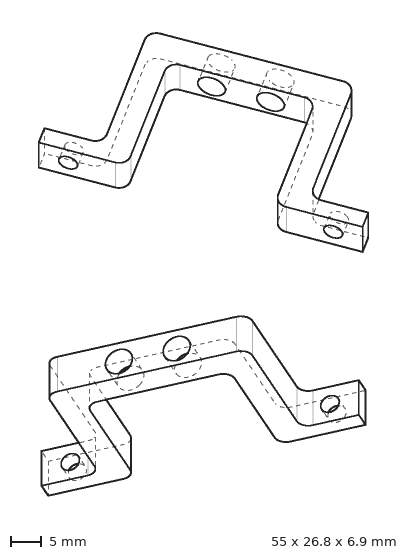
import cadquery as cq

length = 55.0
depth = 26.8
height = 6.9

channel_width = 25.0
wall = 5.0
flange_thickness = 3.0
corner_radius = 2.0

flange_hole_diameter = 3.2
flange_hole_spacing = 45.0
bridge_hole_diameter = 4.7
bridge_hole_spacing = 10.0
bridge_hole_shift_x = -0.15
bridge_hole_drop = 0.2

half_length = length / 2
channel_half = channel_width / 2
outer_half = channel_half + wall


def hat_body():
    """Bridge, two legs and two outward flanges, with every bend rounded."""
    right_half = [
        (outer_half, depth),
        (outer_half, flange_thickness),
        (half_length, flange_thickness),
        (half_length, 0),
        (channel_half, 0),
        (channel_half, depth - wall),
    ]
    left_half = [(-x, y) for x, y in reversed(right_half)]
    body = cq.Workplane("XY").polyline(right_half + left_half).close().extrude(height)
    bends = body.edges("|Z").edges(
        cq.selectors.BoxSelector(
            (-outer_half - 0.55, -0.55, -0.55),
            (outer_half + 0.55, depth + 0.55, height + 0.55),
        )
    )
    return bends.fillet(corner_radius)


def hole_pair(diameter, spacing, center_x, center_z):
    """Two cylinders along Y, long enough to pass through the whole depth."""
    centers = [(center_x + side * spacing / 2, center_z) for side in (-1, 1)]
    return cq.Workplane("XZ").pushPoints(centers).circle(diameter / 2).extrude(-depth)


flange_holes = hole_pair(flange_hole_diameter, flange_hole_spacing, 0, height / 2)
bridge_holes = hole_pair(
    bridge_hole_diameter,
    bridge_hole_spacing,
    bridge_hole_shift_x,
    height / 2 - bridge_hole_drop,
)

result = hat_body().cut(flange_holes).cut(bridge_holes)